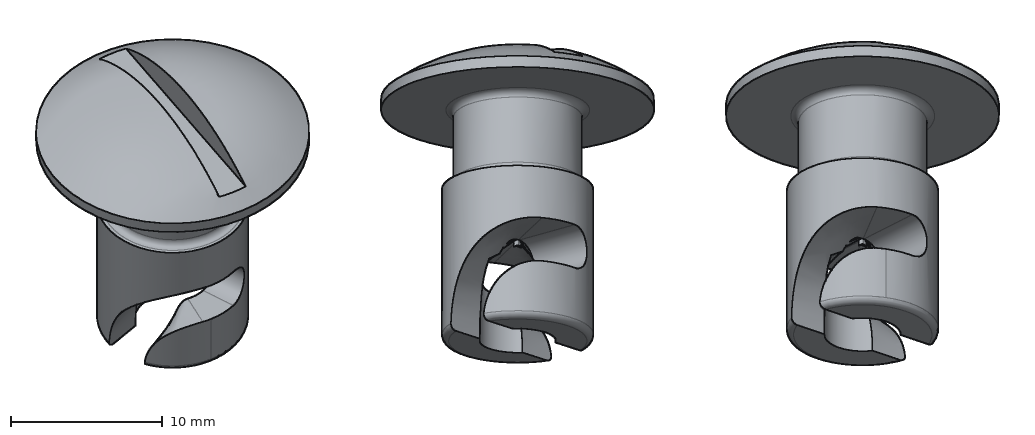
import cadquery as cq
import math

dome_apex = 19.78
head_radius = 9.0
rim_bottom = 16.0
rim_top = 16.78
driver_slot_width = 2.01
driver_slot_floor = 17.55

shank_radius = 4.25
body_radius = 5.0
body_top = 10.5
neck_fillet = 0.5
bottom_fillet = 0.43

bore_radius = 2.5
bore_apex = 6.63
drill_point_angle = 118.0

cam_width = 3.0
cam_level = 5.47
cam_end_angle = -23.0
cam_bend_angle = 7.0
bend_overrun = 8.0
bend_sections = 12
cutter_inner = 0.1
cutter_outer = 6.32
cutter_length = cutter_outer - cutter_inner


def make_outer_body():
    """Revolve the domed head, shank and body as one profile."""
    dome_height = dome_apex - rim_top
    dome_radius = (head_radius**2 + dome_height**2) / (2 * dome_height)
    mid_radius = head_radius / 2
    mid_height = dome_apex - dome_radius + math.sqrt(dome_radius**2 - mid_radius**2)
    root_radius = shank_radius + neck_fillet
    return (
        cq.Workplane("XZ")
        .moveTo(0, 0)
        .lineTo(body_radius - bottom_fillet, 0)
        .radiusArc((body_radius, bottom_fillet), -bottom_fillet)
        .lineTo(body_radius, body_top)
        .lineTo(root_radius, body_top)
        .radiusArc((shank_radius, body_top + neck_fillet), neck_fillet)
        .lineTo(shank_radius, rim_bottom - neck_fillet)
        .radiusArc((root_radius, rim_bottom), neck_fillet)
        .lineTo(head_radius, rim_bottom)
        .lineTo(head_radius, rim_top)
        .threePointArc((mid_radius, mid_height), (0, dome_apex))
        .close()
        .revolve(360, (0, 0, 0), (0, 1, 0))
    )


def make_driver_slot():
    """Straight screwdriver slot across the dome along X."""
    return cq.Workplane("XY", origin=(0, 0, driver_slot_floor)).box(
        2 * head_radius, driver_slot_width, dome_apex - driver_slot_floor,
        centered=(True, True, False),
    )


def make_bore():
    """Bore from the bottom face, ending in a drill-point cone."""
    cone_height = bore_radius / math.tan(math.radians(drill_point_angle / 2))
    return (
        cq.Workplane("XZ")
        .polyline([(0, 0), (bore_radius, 0), (bore_radius, bore_apex - cone_height), (0, bore_apex)])
        .close()
        .revolve(360, (0, 0, 0), (0, 1, 0))
    )


def bend_section(turn):
    """Radial slot section after the path has turned down by the given angle in degrees."""
    turn = math.radians(turn)
    angle = -math.radians(cam_bend_angle) - cam_level * math.sin(turn) / body_radius
    height = cam_level * math.cos(turn)
    radial = cq.Vector(math.cos(angle), math.sin(angle), 0)
    forward = cq.Vector(math.sin(angle), -math.cos(angle), 0)
    across = forward * math.sin(turn) + cq.Vector(0, 0, math.cos(turn))
    center = cq.Vector(0, 0, height)
    corners = [
        center + radial * reach + across * (side * cam_width / 2)
        for reach, side in [(cutter_inner, -1), (cutter_outer, -1), (cutter_outer, 1), (cutter_inner, 1)]
    ]
    return cq.Wire.makePolygon(corners, close=True)


def cam_slot_cutters():
    """Cutters for the +X slot: round end, level stretch, then a bend down through the bottom."""
    end_angle = -math.radians(cam_end_angle)
    end_direction = cq.Vector(math.cos(end_angle), math.sin(end_angle), 0)
    end_start = end_direction * cutter_inner + cq.Vector(0, 0, cam_level)
    round_end = cq.Solid.makeCylinder(cam_width / 2, cutter_length, end_start, end_direction)

    level = (
        cq.Workplane("XZ")
        .center(cutter_inner, cam_level - cam_width / 2)
        .rect(cutter_length, cam_width, centered=False)
        .revolve(cam_bend_angle - cam_end_angle, (-cutter_inner, 0, 0), (-cutter_inner, 1, 0))
        .rotate((0, 0, 0), (0, 0, 1), -cam_bend_angle)
    )
    last_turn = 90 + bend_overrun
    bend = cq.Solid.makeLoft([bend_section(last_turn * i / bend_sections) for i in range(bend_sections + 1)])
    return [cq.Workplane(round_end), level, cq.Workplane(bend)]


result = make_outer_body().cut(make_driver_slot()).cut(make_bore())
for half_turn in (0, 180):
    for cutter in cam_slot_cutters():
        result = result.cut(cutter.rotate((0, 0, 0), (0, 0, 1), half_turn))